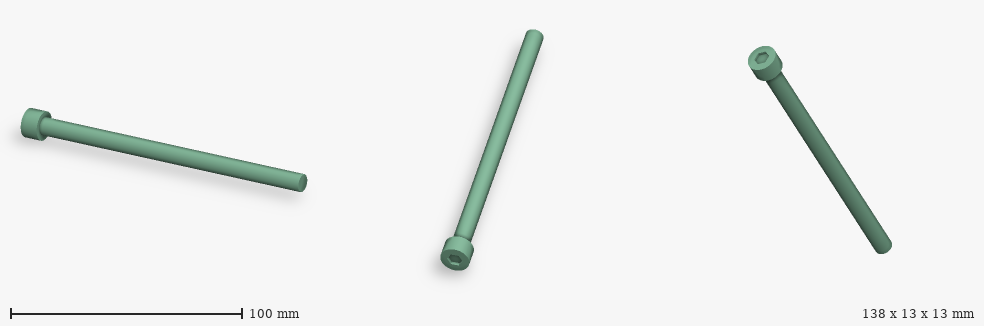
import cadquery as cq
import math

head_diameter = 13.0
head_height = 8.0
shank_diameter = 8.0
shank_length = 130.0
tip_chamfer = 0.2
socket_across_flats = 6.0
socket_depth = 1.5


def make_head():
    """Cylindrical head on the -X side of the bearing face."""
    return cq.Workplane("YZ").circle(head_diameter / 2).extrude(-head_height)


def make_shank():
    """Plain round shank with a chamfered tip at its +X end."""
    shank = cq.Workplane("YZ").circle(shank_diameter / 2).extrude(shank_length)
    return shank.faces(">X").chamfer(tip_chamfer)


def make_socket():
    """Hexagonal drive recess, two corners on Y and two flats facing Z."""
    across_corners = socket_across_flats / math.cos(math.radians(30))
    head_face = cq.Workplane("YZ", origin=(-head_height, 0, 0))
    return head_face.polygon(6, across_corners).extrude(socket_depth)


result = make_head().union(make_shank()).cut(make_socket())